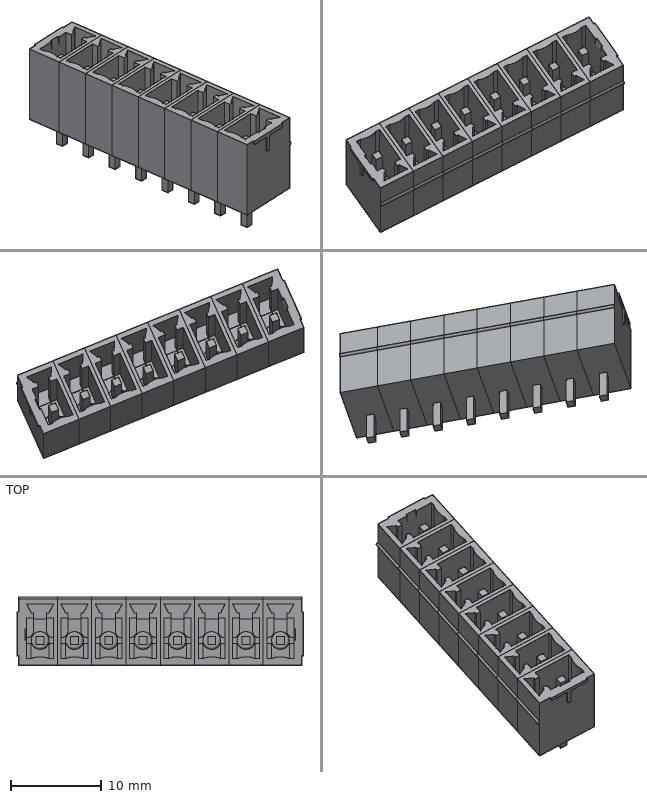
import cadquery as cq

MODULE_COUNT = 8
PITCH = 3.8
END_WALL_EXTRA = 0.48
BODY_DEPTH = 7.38
BODY_HEIGHT = 9.2

PIN_SIZE = 0.85
PIN_Y = 2.75
PIN_TAIL = 3.5
PIN_TOP_DROP = 1.43

FLOOR_Z = 1.58
CAVITY_HALF_WIDTH = 1.5
CAVITY_FRONT_Y = 0.75
RIB_FRONT_Y = 5.25
RIB_BACK_Y = 5.83
CAVITY_BACK_Y = 6.78
NECK_HALF_WIDTH = 0.73
RIB_SLOPE_HALF_WIDTH = 0.98
FRONT_BULGE = 0.2

CROSS_HEIGHT = 0.32
BACK_ARM_END_Y = 5.15
SIDE_ARM_WIDTH = 0.65
FRONT_ARM_HALF_WIDTH = 0.98
BACK_ARM_FILLET = 0.65
FRONT_ARM_FILLET = 0.15
POST_RADIUS = 0.98
POST_HEIGHT = 0.63
POST_FILLET = 0.25

LATCH_RADIUS = 0.22
LATCH_Z = 5.75

BOSS_THICKNESS = 0.15
BOSS_Y = 3.48
BOSS_BAR_WIDTH = 4.88
BOSS_BAR_HEIGHT = 0.48
BOSS_STEM_WIDTH = 0.48
BOSS_DROP = 2.4
BOSS_CORNER_RADIUS = 0.2
BOSS_JUNCTION_RADIUS = 0.2

NOTCH_Y = 3.42
NOTCH_WIDTH = 1.25
NOTCH_DEPTH = 0.2
NOTCH_HEIGHT = 1.0

BODY_HALF_LENGTH = MODULE_COUNT * PITCH / 2 + END_WALL_EXTRA


def block(x_min, x_max, y_min, y_max, z_min, z_max):
    """Box given by its limits along each axis."""
    size = (x_max - x_min, y_max - y_min, z_max - z_min)
    return cq.Workplane("XY").box(*size, centered=False).translate((x_min, y_min, z_min))


def latch(x_min, x_max):
    """Half-round ridge on the back face."""
    ridge = (
        cq.Workplane("YZ")
        .moveTo(BODY_DEPTH, LATCH_Z + LATCH_RADIUS)
        .threePointArc((BODY_DEPTH + LATCH_RADIUS, LATCH_Z), (BODY_DEPTH, LATCH_Z - LATCH_RADIUS))
        .close()
        .extrude(x_max - x_min)
    )
    return ridge.translate((x_min, 0, 0))


def cavity(pin_x):
    """Pocket with a bulged front wall, narrowing between two ribs to a dovetail slot at the back."""
    outline = (
        cq.Workplane("XY")
        .moveTo(-CAVITY_HALF_WIDTH, CAVITY_FRONT_Y)
        .lineTo(-FRONT_ARM_HALF_WIDTH, CAVITY_FRONT_Y)
        .threePointArc((0, CAVITY_FRONT_Y + FRONT_BULGE), (FRONT_ARM_HALF_WIDTH, CAVITY_FRONT_Y))
        .lineTo(CAVITY_HALF_WIDTH, CAVITY_FRONT_Y)
        .lineTo(CAVITY_HALF_WIDTH, RIB_FRONT_Y)
        .lineTo(NECK_HALF_WIDTH, RIB_FRONT_Y)
        .lineTo(NECK_HALF_WIDTH, RIB_BACK_Y)
        .lineTo(RIB_SLOPE_HALF_WIDTH, RIB_BACK_Y)
        .lineTo(CAVITY_HALF_WIDTH, CAVITY_BACK_Y)
        .lineTo(-CAVITY_HALF_WIDTH, CAVITY_BACK_Y)
        .lineTo(-RIB_SLOPE_HALF_WIDTH, RIB_BACK_Y)
        .lineTo(-NECK_HALF_WIDTH, RIB_BACK_Y)
        .lineTo(-NECK_HALF_WIDTH, RIB_FRONT_Y)
        .lineTo(-CAVITY_HALF_WIDTH, RIB_FRONT_Y)
        .close()
    )
    return outline.extrude(BODY_HEIGHT - FLOOR_Z).translate((pin_x, 0, FLOOR_Z))


def floor_cross(pin_x):
    """Cross-shaped pad on the cavity floor with a round-edged post around the pin."""
    arm_front = PIN_Y - SIDE_ARM_WIDTH / 2
    arm_back = PIN_Y + SIDE_ARM_WIDTH / 2
    top = FLOOR_Z + CROSS_HEIGHT
    middle = FLOOR_Z + CROSS_HEIGHT / 2
    side_arms = block(-CAVITY_HALF_WIDTH, CAVITY_HALF_WIDTH, arm_front, arm_back, FLOOR_Z, top)
    back_arm = block(-NECK_HALF_WIDTH, NECK_HALF_WIDTH, PIN_Y, BACK_ARM_END_Y, FLOOR_Z, top)
    front_arm = block(
        -FRONT_ARM_HALF_WIDTH, FRONT_ARM_HALF_WIDTH, CAVITY_FRONT_Y / 2, PIN_Y, FLOOR_Z, top
    )
    cross = side_arms.union(back_arm).union(front_arm)
    for x in (-NECK_HALF_WIDTH, NECK_HALF_WIDTH):
        cross = cross.edges(cq.NearestToPointSelector((x, arm_back, middle)))
        cross = cross.fillet(BACK_ARM_FILLET)
    for x in (-FRONT_ARM_HALF_WIDTH, FRONT_ARM_HALF_WIDTH):
        cross = cross.edges(cq.NearestToPointSelector((x, arm_front, middle)))
        cross = cross.fillet(FRONT_ARM_FILLET)
    post = cq.Workplane("XY").circle(POST_RADIUS).extrude(POST_HEIGHT)
    post = post.faces(">Z").edges().fillet(POST_FILLET)
    return cross.union(post.translate((0, PIN_Y, FLOOR_Z))).translate((pin_x, 0, 0))


def pin(pin_x):
    """Square pin from below the body up into the cavity."""
    half = PIN_SIZE / 2
    return block(
        pin_x - half, pin_x + half, PIN_Y - half, PIN_Y + half, -PIN_TAIL, BODY_HEIGHT - PIN_TOP_DROP
    )


def end_boss():
    """T-shaped boss on the left end face, level with the top face."""
    bar_bottom = BODY_HEIGHT - BOSS_BAR_HEIGHT
    x_min = -BODY_HALF_LENGTH - BOSS_THICKNESS
    x_max = -BODY_HALF_LENGTH
    bar_half = BOSS_BAR_WIDTH / 2
    stem_half = BOSS_STEM_WIDTH / 2
    bar = block(x_min, x_max, BOSS_Y - bar_half, BOSS_Y + bar_half, bar_bottom, BODY_HEIGHT)
    bar = bar.edges("|X and <Z").fillet(BOSS_CORNER_RADIUS)
    stem = block(
        x_min, x_max, BOSS_Y - stem_half, BOSS_Y + stem_half, BODY_HEIGHT - BOSS_DROP, BODY_HEIGHT
    )
    stem = stem.edges("|X and <Z").fillet(BOSS_CORNER_RADIUS)
    boss = bar.union(stem)
    for y in (BOSS_Y - stem_half, BOSS_Y + stem_half):
        junction = cq.NearestToPointSelector(((x_min + x_max) / 2, y, bar_bottom))
        boss = boss.edges(junction).fillet(BOSS_JUNCTION_RADIUS)
    return boss


def end_notch(pin_x):
    """Notch in the left end wall of the cavity, deepest at the top and running out downwards."""
    wall_x = pin_x - CAVITY_HALF_WIDTH
    profile = [
        (wall_x, BODY_HEIGHT),
        (wall_x - NOTCH_DEPTH, BODY_HEIGHT),
        (wall_x, BODY_HEIGHT - NOTCH_HEIGHT),
    ]
    ramp = cq.Workplane("XZ").polyline(profile).close().extrude(-NOTCH_WIDTH)
    return ramp.translate((0, NOTCH_Y - NOTCH_WIDTH / 2, 0))


def module(index):
    """One module of the row: housing segment and its pin in a single solid."""
    pin_x = (index - (MODULE_COUNT - 1) / 2) * PITCH
    is_first = index == 0
    is_last = index == MODULE_COUNT - 1
    x_min = -BODY_HALF_LENGTH if is_first else pin_x - PITCH / 2
    x_max = BODY_HALF_LENGTH if is_last else pin_x + PITCH / 2

    body = block(x_min, x_max, 0, BODY_DEPTH, 0, BODY_HEIGHT)
    body = body.union(latch(x_min, x_max)).cut(cavity(pin_x))
    body = body.union(floor_cross(pin_x)).union(pin(pin_x))
    if is_first:
        body = body.union(end_boss()).cut(end_notch(pin_x))
    if is_last:
        body = body.union(end_boss().mirror("YZ")).cut(end_notch(-pin_x).mirror("YZ"))
    return body


modules = [module(index) for index in range(MODULE_COUNT)]
result = cq.Compound.makeCompound([segment.val() for segment in modules])